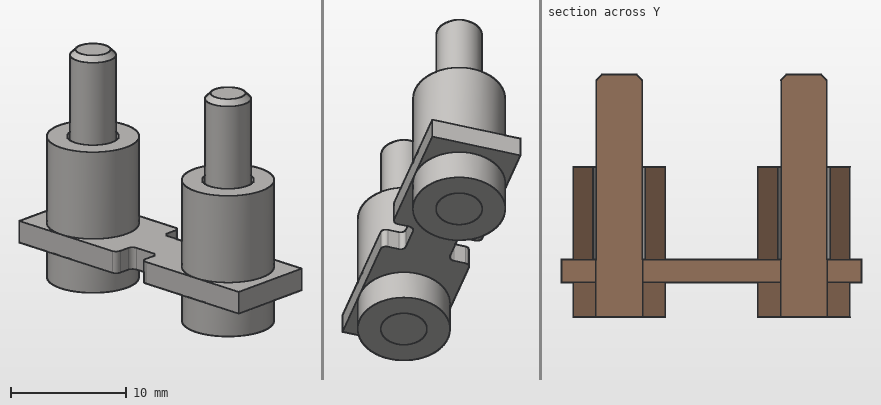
import cadquery as cq

plate_length = 26.0
plate_width = 8.0
plate_thickness = 2.0
notch_length = 3.0
notch_depth = 2.0
notch_corner_radius = 0.5

round_diameter = plate_width
collar_height = 3.0
sleeve_height = 8.0
sleeve_bore_diameter = 4.5

pin_diameter = 4.0
pin_protrusion = 8.0
pin_tip_chamfer = 0.5
pin_spacing = 16.0

plate_bottom = collar_height
plate_top = plate_bottom + plate_thickness
sleeve_top = plate_top + sleeve_height
pin_top = sleeve_top + pin_protrusion

pin_positions = [(-pin_spacing / 2, 0), (pin_spacing / 2, 0)]


def make_plate():
    """Rectangular link with two rounded edge notches and a hole for each pin."""
    blank = (
        cq.Workplane("XY", origin=(0, 0, plate_bottom))
        .rect(plate_length, plate_width)
        .extrude(plate_thickness)
    )
    notches = (
        cq.Workplane("XY", origin=(0, 0, plate_bottom))
        .pushPoints([(0, -plate_width / 2), (0, plate_width / 2)])
        .rect(notch_length, 2 * notch_depth)
        .extrude(plate_thickness)
    )
    notch_corners = cq.selectors.BoxSelector(
        (-notch_length, -plate_width, 0),
        (notch_length, plate_width, pin_top),
    )
    link = blank.cut(notches).edges("|Z").edges(notch_corners).fillet(notch_corner_radius)
    pin_holes = (
        cq.Workplane("XY", origin=(0, 0, plate_bottom))
        .pushPoints(pin_positions)
        .circle(pin_diameter / 2)
        .extrude(plate_thickness)
    )
    return link.cut(pin_holes)


def make_ring(position, bottom, height, bore_diameter):
    """Round body with a through bore, its axis vertical at the given position."""
    x, y = position
    return (
        cq.Workplane("XY", origin=(x, y, bottom))
        .circle(round_diameter / 2)
        .circle(bore_diameter / 2)
        .extrude(height)
    )


def make_collar(position):
    """Collar under the plate, fitting closely around the pin."""
    return make_ring(position, 0, collar_height, pin_diameter)


def make_sleeve(position):
    """Sleeve on top of the plate, with clearance around the pin."""
    return make_ring(position, plate_top, sleeve_height, sleeve_bore_diameter)


def make_pin(position):
    """Straight pin with a chamfered upper end."""
    x, y = position
    return (
        cq.Workplane("XY", origin=(x, y, 0))
        .circle(pin_diameter / 2)
        .extrude(pin_top)
        .faces(">Z")
        .chamfer(pin_tip_chamfer)
    )


plate = make_plate()
bodies = [plate.val()]
for pin_position in pin_positions:
    collar = make_collar(pin_position)
    sleeve = make_sleeve(pin_position)
    pin = make_pin(pin_position)
    bodies += [collar.val(), sleeve.val(), pin.val()]

result = cq.Compound.makeCompound(bodies)